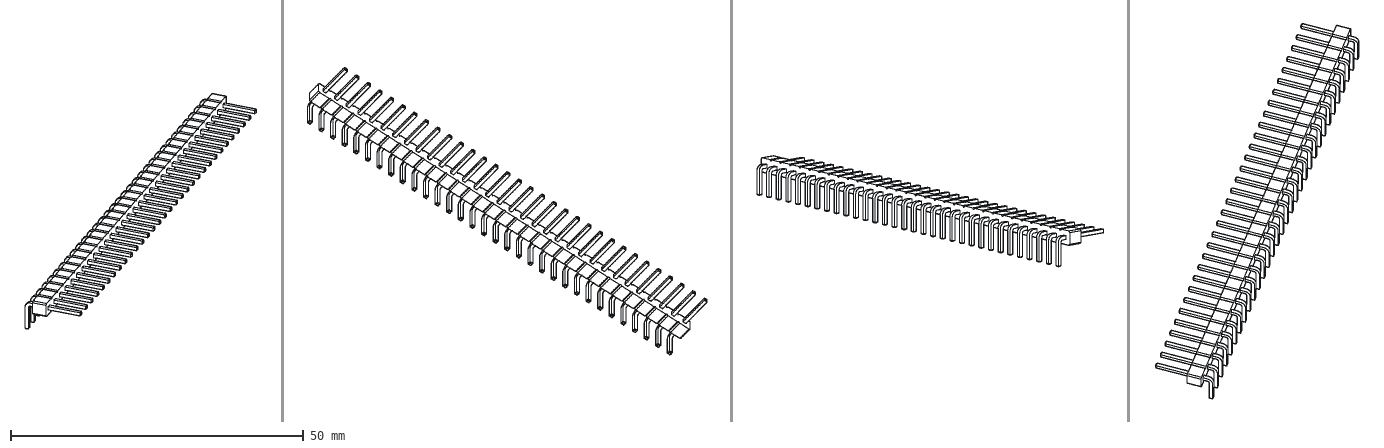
import cadquery as cq

pin_count = 32
row_length = 81.3
overall_width = 10.3
overall_height = 6.2
edge_chamfer = 0.25
pin_thickness = 0.63
tip_length = 6.0
tip_chamfer = 0.15
bend_outer_radius = 1.0

pitch = row_length / pin_count
housing_width = pitch
housing_height = pitch
bend_inner_radius = bend_outer_radius - pin_thickness
housing_x = housing_width / 2
tip_x = housing_x + tip_length
leg_x = tip_x - overall_width
leg_bottom = housing_height / 2 - overall_height
pin_top = pin_thickness / 2


def housing_cell(y):
    """One insulator block; neighbouring bevels form a V groove between cells."""
    return (
        cq.Workplane("XY")
        .box(housing_width, pitch, housing_height)
        .edges("|X")
        .chamfer(edge_chamfer)
        .translate((0, y, 0))
    )


def angled_pin(y):
    """One square pin, bent from horizontal down into a vertical leg."""
    leg_inner_x = leg_x + pin_thickness
    bend_x = leg_x + bend_outer_radius
    bend_z = pin_top - bend_outer_radius
    return (
        cq.Workplane("XZ")
        .moveTo(tip_x, pin_top)
        .lineTo(bend_x, pin_top)
        .radiusArc((leg_x, bend_z), -bend_outer_radius)
        .lineTo(leg_x, leg_bottom)
        .lineTo(leg_inner_x, leg_bottom)
        .lineTo(leg_inner_x, bend_z)
        .radiusArc((bend_x, -pin_top), bend_inner_radius)
        .lineTo(tip_x, -pin_top)
        .close()
        .extrude(pin_thickness / 2, both=True)
        .faces(">X or <Z")
        .chamfer(tip_chamfer)
        .translate((0, y, 0))
    )


positions = [(i - (pin_count - 1) / 2) * pitch for i in range(pin_count)]
cells = [housing_cell(y).val() for y in positions]
pins = [angled_pin(y).val() for y in positions]
body = cells[0].fuse(*cells[1:], *pins).clean()
result = cq.Workplane("XY").newObject([body.Solids()[0]])